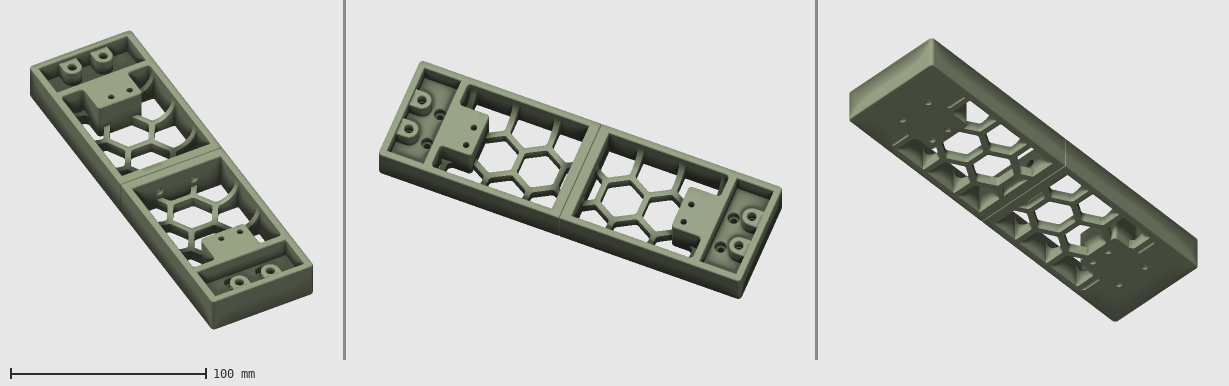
import cadquery as cq
import math

total_length = 200.0
width = 59.0
height = 20.0
frame_length = total_length / 2
outer_radius = 2.0
edge_chamfer = 0.5

wall = 3.8
end_pocket_length = 20.0
divider = 4.2
joint_wall = 5.5
inner_width = width - 2 * wall
pocket_start = wall
pocket_end = pocket_start + end_pocket_length
window_start = pocket_end + divider
window_end = frame_length - joint_wall

pocket_floor = 9.2
boss_top = 18.0
boss_diameter = 10.0
boss_x = 9.0
boss_half_spacing = 9.0
boss_hole_diameter = 3.5
boss_lead_in_diameter = 4.5
boss_lead_in_depth = 6.0
boss_hole_depth = 12.0
floor_hole_x = 19.0
floor_hole_diameter = 3.5
counterbore_diameter = 6.0
counterbore_depth = 4.0

tab_length = 17.0
tab_width = 25.5
tab_radius = 2.0
window_radius = 2.0
tab_hole_x = 40.0
tab_hole_diameter = 3.5
tab_hole_ys = (-3.0, 7.8)

hex_across_flats = 20.0
hex_rib = 3.0
hex_radius = 2.0
hex_pitch = hex_across_flats + hex_rib
hex_row_pitch = hex_pitch * math.sqrt(3) / 2
hex_columns = 5
mesh_thickness = 6.0
trough_radius = 11.0

joint_hole_diameter = 4.5
joint_hole_half_spacing = 10.0
joint_hole_z = 10.8


def box(x_start, x_end, y_size, z_start, z_end):
    """Block centred on Y = 0 between the given X and Z limits."""
    block = cq.Workplane("XY").box(x_end - x_start, y_size, z_end - z_start, centered=(False, True, False))
    return block.translate((x_start, 0, z_start))


def vertical_cylinder(x, y, diameter, z_start, z_end):
    return cq.Workplane("XY", origin=(x, y, z_start)).circle(diameter / 2).extrude(z_end - z_start)


def chamfered_bore(x, y, diameter, z_start, z_end):
    """Cutter for a round hole whose upper rim is chamfered."""
    bore = vertical_cylinder(x, y, diameter, z_start, z_end)
    rim = cq.Solid.makeCone(
        diameter / 2, diameter / 2 + edge_chamfer, edge_chamfer, pnt=cq.Vector(x, y, z_end - edge_chamfer)
    )
    return bore.union(cq.Workplane(rim))


def outer_block():
    """Envelope rounded at the free end, chamfered around the bottom and the joint face."""
    block = box(0, frame_length, width, 0, height).edges("|Z and <X").fillet(outer_radius)
    return block.edges("<Z or >X").edges("not >Z").chamfer(edge_chamfer)


def fillet_uprights_near(body, x, radius):
    """Round the vertical edges of a body that lie within one wall thickness of x."""
    zone = cq.selectors.BoxSelector((x - wall, -width, 0), (x + wall, width, height))
    return body.edges(zone).edges("|Z").fillet(radius)


def window_opening():
    """Prism of the window with the mounting tab left standing."""
    tab_tip = window_start + tab_length
    tab = box(window_start, tab_tip, tab_width, 0, height)
    opening = box(window_start, window_end, inner_width, 0, height).cut(tab)
    opening = fillet_uprights_near(opening, window_start, window_radius)
    return fillet_uprights_near(opening, tab_tip, tab_radius)


def trough():
    """Space above the honeycomb, rounded where it rises to the side walls."""
    block = box(window_start, window_end, inner_width, mesh_thickness, 2 * height)
    return block.edges("|X and <Z").fillet(trough_radius)


def honeycomb_cells():
    """Hexagonal prisms on a grid centred on the joint between the frames."""
    circumscribed_diameter = hex_across_flats * 2 / math.sqrt(3)
    cell = cq.Workplane("XY").polygon(6, circumscribed_diameter).extrude(height)
    cell = cell.rotate((0, 0, 0), (0, 0, 1), 30).edges("|Z").fillet(hex_radius)
    cells = cq.Workplane("XY")
    for row in (-1, 0, 1):
        row_shift = hex_pitch / 2 if row else 0
        for column in range(hex_columns):
            x = frame_length - row_shift - column * hex_pitch
            cells = cells.add(cell.translate((x, row * hex_row_pitch, 0)))
    return cells.combine()


def screw_boss(y):
    """Round boss joined to the end wall by a straight web of the same width."""
    boss = vertical_cylinder(boss_x, y, boss_diameter, pocket_floor, boss_top)
    web = box(wall / 2, boss_x, boss_diameter, pocket_floor, boss_top).translate((0, y, 0))
    return boss.union(web).faces(">Z").edges().chamfer(edge_chamfer)


def frame_shell():
    """Frame with its end pocket, window and honeycomb, the top rims chamfered."""
    window = window_opening()
    shell = outer_block()
    shell = shell.cut(box(pocket_start, pocket_end, inner_width, pocket_floor, height))
    shell = shell.cut(window.intersect(trough()))
    shell = shell.faces(">Z").edges().chamfer(edge_chamfer)
    return shell.cut(window.intersect(honeycomb_cells()))


def joint_holes():
    """Cutters for the screw holes that run through the joint wall."""
    return (
        cq.Workplane("YZ", origin=(window_end, 0, joint_hole_z))
        .pushPoints([(-joint_hole_half_spacing, 0), (joint_hole_half_spacing, 0)])
        .circle(joint_hole_diameter / 2)
        .extrude(joint_wall)
    )


def build_frame():
    """One frame with its free end at X = 0 and its joint face at X = frame_length."""
    frame = frame_shell()
    lead_in_bottom = boss_top - boss_lead_in_depth
    bore_bottom = pocket_floor - counterbore_depth
    for y in (-boss_half_spacing, boss_half_spacing):
        frame = frame.union(screw_boss(y))
        frame = frame.cut(vertical_cylinder(boss_x, y, boss_hole_diameter, boss_top - boss_hole_depth, boss_top))
        frame = frame.cut(chamfered_bore(boss_x, y, boss_lead_in_diameter, lead_in_bottom, boss_top))
        frame = frame.cut(vertical_cylinder(floor_hole_x, y, floor_hole_diameter, 0, pocket_floor))
        frame = frame.cut(chamfered_bore(floor_hole_x, y, counterbore_diameter, bore_bottom, pocket_floor))
    for y in tab_hole_ys:
        frame = frame.cut(vertical_cylinder(tab_hole_x, y, tab_hole_diameter, 0, height))
    return frame.cut(joint_holes())


left_frame = build_frame().translate((-frame_length, 0, 0))
right_frame = left_frame.mirror("YZ")

result = cq.Compound.makeCompound([left_frame.val(), right_frame.val()])